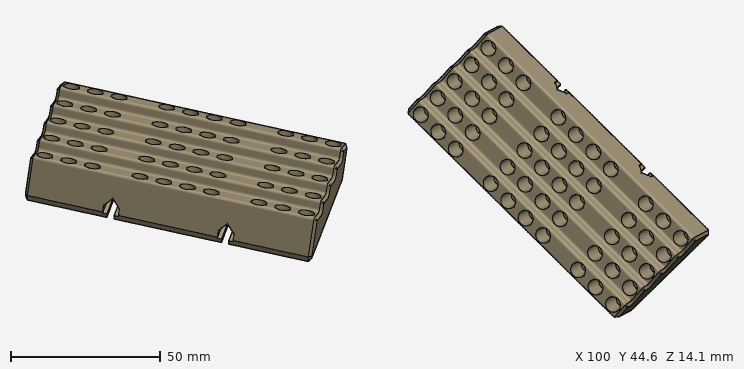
import cadquery as cq
import math

length = 100.0
depth = 44.6
height = 14.1

row_count = 5
row_pitch = 8.0
gentle_angle = math.radians(30.0)
steep_slope = 1.0 / math.tan(gentle_angle)
gentle_run = row_pitch * math.cos(gentle_angle) ** 2
gentle_drop = gentle_run * math.tan(gentle_angle)
round_radius = 1.0
end_chamfer = 1.0

edge_reach = 0.1

front_crest_y = 7.0
crest_loss = round_radius * (math.sin(gentle_angle) + math.cos(gentle_angle) - 1.0)
crest_z = height + crest_loss
valley_z = crest_z - gentle_drop
front_wall_height = crest_z - front_crest_y * steep_slope

first_column_x = 4.2
column_count = 12
column_pitch = 8.3
empty_columns = (3, 8)
socket_diameter = 5.3
socket_depth = 10.0
socket_clearance = 1.0

slot_centers_x = (30.0, 70.0)
slot_depth = 35.0
stem_width = 2.5
stem_height = 1.8
head_width = 5.5
head_wall_top = 4.3
head_peak = head_wall_top + head_width / 2


def crest_y(row):
    return front_crest_y + row * row_pitch


def make_block():
    """Sharp sawtooth side outline swept along X."""
    outline = [(0, 0), (0, front_wall_height)]
    for row in range(row_count):
        outline.append((crest_y(row), crest_z))
        if row < row_count - 1:
            outline.append((crest_y(row) + gentle_run, valley_z))
    back_top_z = crest_z - (depth - crest_y(row_count - 1)) * math.tan(gentle_angle)
    outline.append((depth, back_top_z))
    outline.append((depth - back_top_z / steep_slope, 0))
    return cq.Workplane("YZ").polyline(outline).close().extrude(length)


def round_edges_at(body, z):
    """Round the edges running along X at height z, between the first and last crest."""
    zone = cq.selectors.BoxSelector(
        (0, front_crest_y - edge_reach, z - edge_reach),
        (length, crest_y(row_count - 1) + edge_reach, z + edge_reach),
    )
    return body.edges("|X").edges(zone).fillet(round_radius)


def make_sockets():
    """Blind round sockets drilled square into the middle of every gentle face."""
    normal = cq.Vector(0, math.sin(gentle_angle), math.cos(gentle_angle))
    sockets = cq.Workplane()
    for row in range(row_count):
        for column in range(column_count):
            if column in empty_columns:
                continue
            mouth = cq.Vector(
                first_column_x + column * column_pitch,
                crest_y(row) + gentle_run / 2,
                crest_z - gentle_drop / 2,
            )
            sockets.add(
                cq.Solid.makeCylinder(
                    socket_diameter / 2, socket_depth + socket_clearance,
                    mouth - normal * socket_depth, normal,
                )
            )
    return sockets.combine()


def make_slot(center_x):
    half_stem = stem_width / 2
    half_head = head_width / 2
    return (
        cq.Workplane("XZ", origin=(center_x, 0, 0))
        .moveTo(-half_stem, 0)
        .lineTo(-half_stem, stem_height)
        .lineTo(-half_head, stem_height)
        .lineTo(-half_head, head_wall_top)
        .lineTo(0, head_peak)
        .lineTo(half_head, head_wall_top)
        .lineTo(half_head, stem_height)
        .lineTo(half_stem, stem_height)
        .lineTo(half_stem, 0)
        .close()
        .extrude(-slot_depth)
    )


result = round_edges_at(make_block(), crest_z)
result = result.cut(make_sockets())
result = round_edges_at(result, valley_z)
result = result.faces("<X or >X").chamfer(end_chamfer)
for slot_x in slot_centers_x:
    result = result.cut(make_slot(slot_x))